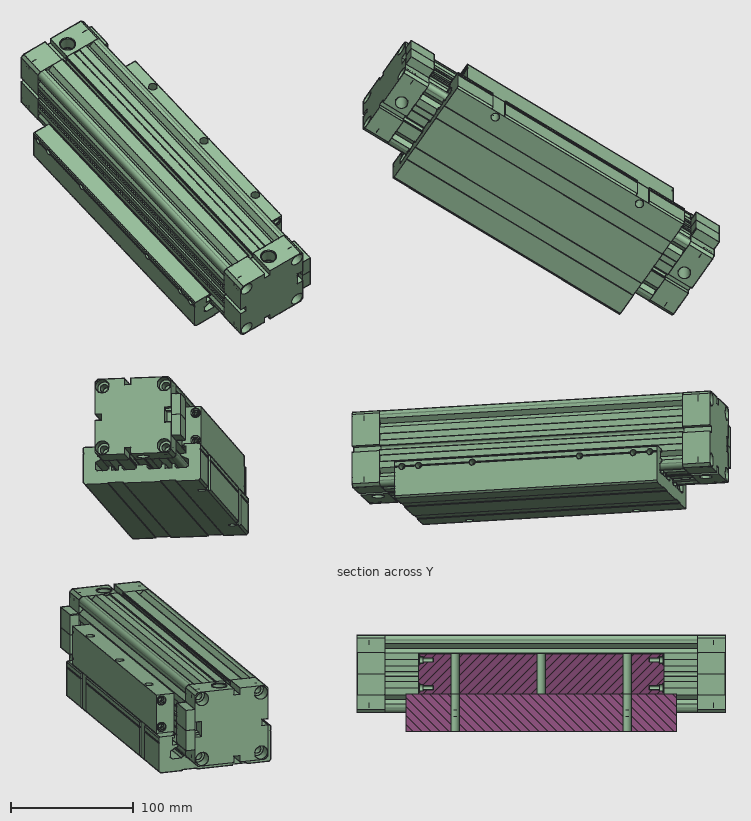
import cadquery as cq

total_length = 300.0
section = 63.0
cap_length = 23.0
carriage_length = 220.0
carriage_width = 97.0
carriage_height = 30.8
total_height = 78.5
bracket_length = 200.0

half_section = section / 2
half_length = total_length / 2
tube_length = total_length - 2 * cap_length

tube_corner_radius = 3.9
vee_center = 20.8
vee_depth = 3.7
strip_inner = 6.3
strip_outer = 11.7
strip_depth = 1.2
top_strip_center = 7.7
side_sensor_mouth = 3.6
top_sensor_mouth = 2.6
top_sensor_step = 4.2
top_sensor_step_depth = 0.5
sensor_bore = 4.4
sensor_bore_depth = 3.0
sensor_offset = 4.6

cap_chamfer = 2.5
cap_slot_width = 5.2
cap_slot_depth = 5.4
cap_screw_offset = 25.5
cap_screw_hole = 6.8
cap_screw_head = 11.0
cap_screw_head_depth = 10.0
port_from_end = 12.7
port_y = 6.1
port_hole = 10.2
port_thread = 11.6
port_thread_depth = 12.0
port_mouth = 13.0
port_mouth_chamfer = (port_mouth - port_thread) / 2
key_depth = 5.6
key_height = 12.8
key_length = 6.0
key_floor_height = 9.2
key_floor_length = 6.0

block_width = 7.8
block_half_height = 17.2
block_inset = 0.4
block_length = cap_length - block_inset
block_chamfer = 0.7

carriage_bottom = half_section - total_height
carriage_top = carriage_bottom + carriage_height
half_width = carriage_width / 2
running_gap = 0.6
channel_half = half_section + running_gap
floor_gap = 1.0
channel_floor = -half_section - floor_gap
arm_lip_chamfer = 0.8
carriage_edge_chamfer = 1.6
carriage_top_chamfer = 0.9
pocket_floor = -half_section - 4.6
rail_slot_height = 6.0
rail_slot_depth = 4.4
rail_slot_z = -21.2
floor_slot_y = 22.1
floor_slot_width = 5.6
floor_pocket_inner = 4.5
floor_pocket_outer = 16.2
floor_pocket_chamfer = 1.6
corner_outer = 38.4
corner_inner = 27.3
corner_chamfer = 1.6
corner_slope_top = -26.0
corner_slope_bottom = -29.2
foot_recess_inner = 15.4
foot_recess_outer = 28.0
foot_recess_depth = 0.8
scribe_depth = 0.5
set_screw_hole = 5.0
set_screw_positions = [45.0, 90.0, 104.0]
end_notch_depth = 2.7
end_notch_flat = 3.6
end_notch_length = 6.5

bracket_side_gap = 1.5
bracket_top = 16.4
bracket_tube_gap = 0.1
bracket_inner = half_section + bracket_tube_gap
bracket_outer = half_width - bracket_side_gap
bolt_y = 42.5
bolt_hole = 6.8
bolt_spacing = 70.0
bolt_notch_width = 12.0
end_hole_z = [-11.3, 11.3]
end_hole_steps = [(7.6, 1.0), (5.2, 4.0), (3.0, 12.0)]


def box(x_range, y_range, z_range):
    """A box between pairs of limits along X, Y and Z."""
    size = [high - low for low, high in (x_range, y_range, z_range)]
    low_corner = (x_range[0], y_range[0], z_range[0])
    return cq.Workplane("XY").box(*size, centered=False).translate(low_corner)


def bar(points, length):
    """A prism along X, centred on X = 0, from an outline of (y, z) points."""
    return cq.Workplane("YZ").polyline(points).close().extrude(length / 2, both=True)


def mirrored_y(points):
    return [(-y, z) for y, z in points]


def square_bar(x_low, x_high):
    side = (-half_section, half_section)
    return box((x_low, x_high), side, side)


def vee_groove(y):
    edge = half_section
    return bar([(y - vee_depth, edge), (y, edge - vee_depth), (y + vee_depth, edge)], tube_length)


def top_channel(y, width, depth):
    """Square-edged groove along the top of the tube."""
    limits = (-tube_length / 2, tube_length / 2)
    return box(limits, (y - width / 2, y + width / 2), (half_section - depth, half_section))


def sensor_slot(y, mouth_width):
    """Slot with a round bore that opens through a narrower mouth."""
    bore_plane = cq.Workplane("YZ").center(y, half_section - sensor_bore_depth)
    bore = bore_plane.circle(sensor_bore / 2).extrude(tube_length / 2, both=True)
    return bore.union(top_channel(y, mouth_width, sensor_bore_depth))


def make_tube():
    tube = square_bar(-tube_length / 2, tube_length / 2).edges("|X").fillet(tube_corner_radius)
    strip_center = (strip_inner + strip_outer) / 2
    strip_width = strip_outer - strip_inner
    top_cuts = [vee_groove(-vee_center), vee_groove(vee_center)]
    top_cuts += [sensor_slot(-sensor_offset, top_sensor_mouth)]
    top_cuts += [top_channel(-sensor_offset, top_sensor_step, top_sensor_step_depth)]
    top_cuts += [top_channel(top_strip_center, strip_width, strip_depth)]
    side_cuts = [vee_groove(-vee_center), vee_groove(vee_center), sensor_slot(0, side_sensor_mouth)]
    side_cuts += [top_channel(y, strip_width, strip_depth) for y in (-strip_center, strip_center)]
    for cut in top_cuts:
        tube = tube.cut(cut).cut(cut.mirror("XY"))
    for cut in side_cuts:
        for angle in (90, -90):
            tube = tube.cut(cut.rotate((0, 0, 0), (1, 0, 0), angle))
    return tube


def make_left_cap():
    x_limits = (-half_length, -half_length + cap_length)
    cap = square_bar(*x_limits).edges("|X").chamfer(cap_chamfer)

    slot_half = cap_slot_width / 2
    slot_floor = half_section - cap_slot_depth
    top_slot = box(x_limits, (-sensor_offset - slot_half, -sensor_offset + slot_half),
                   (slot_floor, half_section))
    side_slot = box(x_limits, (-half_section, -slot_floor), (-slot_half, slot_half))
    cap = cap.cut(top_slot).cut(top_slot.mirror("XY")).cut(side_slot)

    corners = [(y, z) for y in (-cap_screw_offset, cap_screw_offset)
               for z in (-cap_screw_offset, cap_screw_offset)]
    end_plane = cq.Workplane("YZ", origin=(-half_length, 0, 0)).pushPoints(corners)
    cap = cap.cut(end_plane.circle(cap_screw_hole / 2).extrude(cap_length))
    cap = cap.cut(end_plane.circle(cap_screw_head / 2).extrude(cap_screw_head_depth))

    port_x = -half_length + port_from_end
    port_plane = cq.Workplane("XY", origin=(port_x, port_y, half_section))
    cap = cap.cut(port_plane.circle(port_hole / 2).extrude(-section))
    cap = cap.cut(port_plane.circle(port_thread / 2).extrude(-port_thread_depth))
    mouth = cq.Solid.makeCone(port_thread / 2, port_mouth / 2, port_mouth_chamfer)
    cap = cap.cut(cq.Workplane(mouth).translate((port_x, port_y, half_section - port_mouth_chamfer)))

    key_y = (half_section - key_depth, half_section)
    key_end = -half_length + key_length
    cap = cap.cut(box((-half_length, key_end), key_y, (-key_height / 2, key_height / 2)))
    key_floor = (-key_floor_height / 2, key_floor_height / 2)
    return cap.cut(box((key_end, key_end + key_floor_length), key_y, key_floor))


def make_upper_left_block():
    x_low = -half_length + block_inset
    block = box((x_low, x_low + block_length), (half_section, half_section + block_width),
                (0, block_half_height))
    return block.edges(">X and >Z").chamfer(block_chamfer)


def carriage_cuts():
    """Outlines, on the +Y side, of what is cut from the carriage along its whole length."""
    arm_lip = [
        (channel_half, carriage_top - arm_lip_chamfer),
        (channel_half, carriage_top),
        (channel_half + arm_lip_chamfer, carriage_top),
    ]
    slot_low = rail_slot_z - rail_slot_height / 2
    slot_high = rail_slot_z + rail_slot_height / 2
    slot_back = channel_half + rail_slot_depth
    rail_slot = [(0, slot_low), (slot_back, slot_low), (slot_back, slot_high), (0, slot_high)]
    corner_cavity = [
        (channel_half, corner_slope_top),
        (corner_outer, corner_slope_bottom),
        (corner_outer, pocket_floor + corner_chamfer),
        (corner_outer - corner_chamfer, pocket_floor),
        (corner_inner + corner_chamfer, pocket_floor),
        (corner_inner, pocket_floor + corner_chamfer),
        (corner_inner, channel_floor),
        (corner_inner, corner_slope_top),
    ]
    slot_in = floor_slot_y - floor_slot_width / 2
    slot_out = floor_slot_y + floor_slot_width / 2
    floor_slot = [(slot_in, 0), (slot_in, pocket_floor), (slot_out, pocket_floor), (slot_out, 0)]
    floor_pocket = [
        (floor_pocket_inner, 0),
        (floor_pocket_inner, pocket_floor + floor_pocket_chamfer),
        (floor_pocket_inner + floor_pocket_chamfer, pocket_floor),
        (floor_pocket_outer - floor_pocket_chamfer, pocket_floor),
        (floor_pocket_outer, pocket_floor + floor_pocket_chamfer),
        (floor_pocket_outer, 0),
    ]
    recess_top = carriage_bottom + foot_recess_depth
    foot_recess = [
        (foot_recess_inner, carriage_bottom),
        (foot_recess_inner, recess_top),
        (foot_recess_outer, recess_top),
        (foot_recess_outer, carriage_bottom),
    ]
    scribe_line = [
        (half_width, rail_slot_z - scribe_depth),
        (half_width - scribe_depth, rail_slot_z),
        (half_width, rail_slot_z + scribe_depth),
    ]
    return [arm_lip, rail_slot, corner_cavity, floor_slot, floor_pocket, foot_recess, scribe_line]


def make_carriage():
    x_limits = (-carriage_length / 2, carriage_length / 2)
    carriage = box(x_limits, (-half_width, half_width), (carriage_bottom, carriage_top))
    carriage = carriage.edges("|X and <Z").chamfer(carriage_edge_chamfer)
    carriage = carriage.edges("|X and >Z").chamfer(carriage_top_chamfer)
    carriage = carriage.cut(box(x_limits, (-channel_half, channel_half), (channel_floor, carriage_top)))
    for outline in carriage_cuts():
        carriage = carriage.cut(bar(outline, carriage_length))
        carriage = carriage.cut(bar(mirrored_y(outline), carriage_length))

    notch_outline = [
        (-carriage_length / 2, channel_half),
        (-carriage_length / 2, channel_half + end_notch_depth),
        (-carriage_length / 2 + end_notch_flat, channel_half + end_notch_depth),
        (-carriage_length / 2 + end_notch_length, channel_half),
    ]
    notch_plane = cq.Workplane("XY", origin=(0, 0, rail_slot_z))
    end_notch = notch_plane.polyline(notch_outline).close().extrude(carriage_top - rail_slot_z)
    carriage = carriage.cut(end_notch).cut(end_notch.mirror("YZ"))

    holes = [(side * x, rail_slot_z) for x in set_screw_positions for side in (-1, 1)]
    screw_plane = cq.Workplane("XZ", origin=(0, -channel_half, 0))
    carriage = carriage.cut(screw_plane.pushPoints(holes).circle(set_screw_hole / 2).extrude(half_width))

    for x in (-bolt_spacing, bolt_spacing):
        carriage = carriage.cut(bolt_cutter([x]))
        carriage = carriage.cut(box((x - bolt_notch_width / 2, x + bolt_notch_width / 2),
                                    (bracket_outer, half_width), (carriage_bottom, carriage_top)))
    return carriage


def bolt_cutter(x_positions):
    points = [(x, bolt_y) for x in x_positions]
    plane = cq.Workplane("XY", origin=(0, 0, carriage_bottom))
    return plane.pushPoints(points).circle(bolt_hole / 2).extrude(total_height)


def make_bracket():
    x_end = bracket_length / 2
    bracket = box((-x_end, x_end), (bracket_inner, bracket_outer), (carriage_top, bracket_top))
    bracket = bracket.cut(bolt_cutter([-bolt_spacing, 0, bolt_spacing]))
    points = [(bolt_y, z) for z in end_hole_z]
    for diameter, depth in end_hole_steps:
        end_plane = cq.Workplane("YZ", origin=(-x_end, 0, 0)).pushPoints(points)
        hole = end_plane.circle(diameter / 2).extrude(depth)
        bracket = bracket.cut(hole).cut(hole.mirror("YZ"))
    return bracket


tube = make_tube()
left_cap = make_left_cap()
caps = [left_cap, left_cap.mirror("YZ")]
carriage = make_carriage()
bracket = make_bracket()
blocks = []
for upper in (make_upper_left_block(), make_upper_left_block().mirror("YZ")):
    blocks += [upper, upper.mirror("XY")]

bodies = [tube, *caps, carriage, bracket, *blocks]
result = cq.Compound.makeCompound([body.val() for body in bodies])